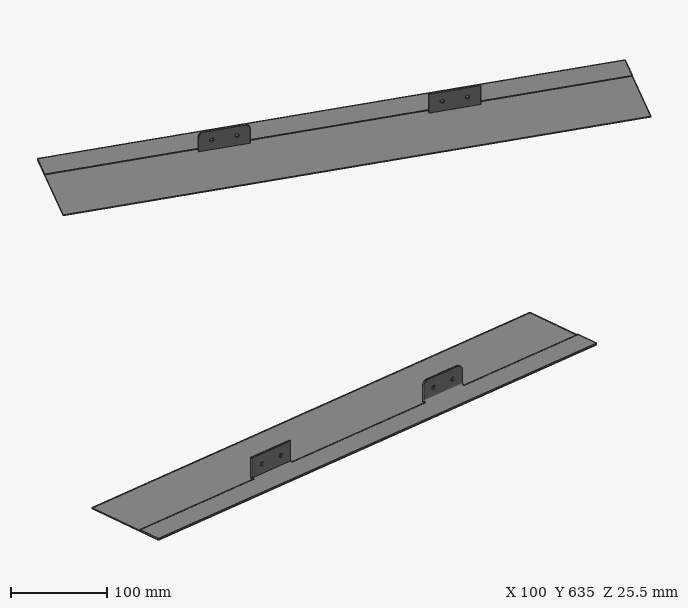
import cadquery as cq

length = 635.0
width = 100.0
height = 25.5
sheet_thickness = 1.0
strip_thickness = 2 * sheet_thickness
strip_width = 28.0

tab_thickness = strip_thickness
tab_length = 56.0
tab_offset = 124.5
tab_start = 30.5
tab_end = tab_start + tab_thickness
corner_radius = 6.5
bend_radius = 2.0

hole_diameter = 4.5
hole_spacing = 27.0
hole_height = 13.5


def make_base():
    sheet = cq.Workplane("XY").box(width, length, sheet_thickness, centered=(False, True, False))
    strip = cq.Workplane("XY").box(strip_width, length, strip_thickness, centered=(False, True, False))
    return sheet.union(strip)


def make_tab(center_y, top_radius=0):
    """Tab with two holes and a foot joining it to the strip; top_radius rounds its upper corners."""
    foot = cq.Workplane("XY").box(tab_end, tab_length, strip_thickness, centered=(False, True, False))
    tab = (
        cq.Workplane("XY", origin=(tab_start, 0, 0))
        .box(tab_thickness, tab_length, height, centered=(False, True, False))
    )
    if top_radius > 0:
        tab = tab.faces(">Z").edges("|X").fillet(top_radius)
    holes = (
        cq.Workplane("YZ")
        .pushPoints([(side * hole_spacing / 2, hole_height) for side in (-1, 1)])
        .circle(hole_diameter / 2)
        .extrude(width)
    )
    return tab.cut(holes).union(foot).translate((0, center_y, 0))


def make_bend(center_y):
    """Concave fillet along the inside root of a tab."""
    block = (
        cq.Workplane("XY", origin=(tab_start - bend_radius, center_y, strip_thickness))
        .box(bend_radius, tab_length, bend_radius, centered=(False, True, False))
    )
    round_cut = (
        cq.Workplane("XZ", origin=(0, center_y, 0))
        .center(tab_start - bend_radius, strip_thickness + bend_radius)
        .circle(bend_radius)
        .extrude(tab_length, both=True)
    )
    return block.cut(round_cut)


square_tab = make_tab(tab_offset)
rounded_tab = make_tab(-tab_offset, corner_radius).union(make_bend(-tab_offset))
result = make_base().union(square_tab).union(rounded_tab)